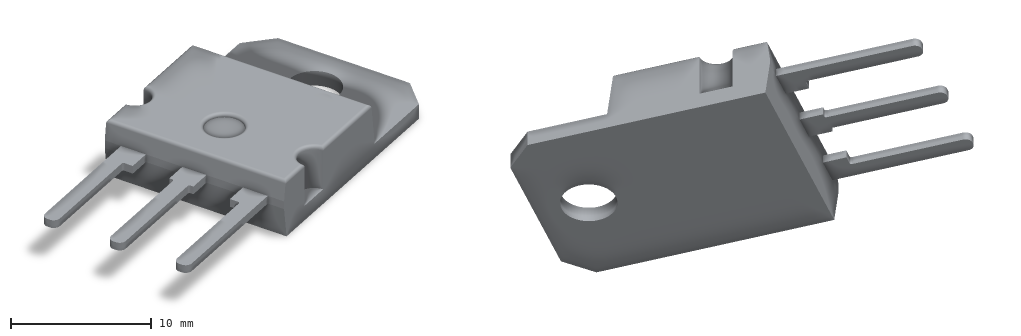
import cadquery as cq
import math

width = 15.0
total_length = 31.0
height = 4.8

housing_length = 12.25
draft_angle = math.radians(7.5)
edge_radius = 0.28
recess_y = 4.03
notch_radius = 1.25
dimple_radius = 1.5
dimple_depth = 0.3

tab_thickness = 1.25
tab_corner = 1.98
hole_y = 16.2
hole_diameter = 4.1

lead_length = 10.8
lead_bottom = 2.5
lead_thickness = 0.65
lead_top = lead_bottom + lead_thickness
leg_width = 1.25
shoulder_length = 1.77
outer_shoulder_width = 2.08
middle_shoulder_width = 2.0
outer_lead_x = 6.15
tip_radius = 0.53
shoulder_radius = 0.15

tab_end = total_length - lead_length


def draft_inset(rise):
    """Horizontal run of a drafted face over the given rise."""
    return rise * math.tan(draft_angle)


def make_housing():
    profile = [
        (draft_inset(lead_bottom), 0),
        (housing_length, 0),
        (housing_length, tab_thickness),
        (housing_length - draft_inset(height - tab_thickness), height),
        (draft_inset(height - lead_top), height),
        (0, lead_top),
        (0, lead_bottom),
    ]
    body = cq.Workplane("YZ").polyline(profile).close().extrude(width / 2, both=True)

    notches = (
        cq.Workplane("XY", origin=(0, recess_y, tab_thickness))
        .pushPoints([(-width / 2, 0), (width / 2, 0)])
        .circle(notch_radius)
        .extrude(height - tab_thickness)
    )
    dimple = (
        cq.Workplane("XY", origin=(0, recess_y, height - dimple_depth))
        .circle(dimple_radius)
        .extrude(dimple_depth)
    )
    body = body.cut(notches).cut(dimple)

    return body.faces(">Z").edges().fillet(edge_radius)


def make_tab():
    tab = (
        cq.Workplane("XY")
        .moveTo(-width / 2, housing_length)
        .lineTo(width / 2, housing_length)
        .lineTo(width / 2, tab_end)
        .lineTo(-width / 2, tab_end)
        .close()
        .extrude(tab_thickness)
        .edges("|Z and >Y")
        .chamfer(tab_corner)
    )
    hole = cq.Workplane("XY").center(0, hole_y).circle(hole_diameter / 2).extrude(tab_thickness)
    return tab.cut(hole)


def make_lead(leg_x, shoulder_x, shoulder_width):
    """One lead: a wide shoulder at the housing and a narrow leg with a rounded tip."""
    plane = cq.Workplane("XY", origin=(0, 0, lead_bottom))
    leg = (
        plane.center(leg_x, -lead_length / 2)
        .rect(leg_width, lead_length)
        .extrude(lead_thickness)
        .edges("|Z and <Y")
        .fillet(tip_radius)
    )
    shoulder = (
        plane.center(shoulder_x, -shoulder_length / 2)
        .rect(shoulder_width, shoulder_length)
        .extrude(lead_thickness)
    )
    lead = leg.union(shoulder)

    corner_size = 2 * shoulder_radius
    corner_zone = cq.selectors.BoxSelector(
        (leg_x - leg_width / 2 - corner_size, -shoulder_length - corner_size, lead_bottom),
        (leg_x + leg_width / 2 + corner_size, -shoulder_length + corner_size, lead_top),
    )
    return lead.edges("|Z").edges(corner_zone).fillet(shoulder_radius)


def make_leads():
    leads = []
    for side in (-1, 0, 1):
        leg_x = side * (outer_lead_x - leg_width / 2)
        shoulder_width = outer_shoulder_width if side else middle_shoulder_width
        shoulder_x = side * (outer_lead_x - shoulder_width / 2)
        leads.append(make_lead(leg_x, shoulder_x, shoulder_width))
    return leads


housing = make_housing()
tab = make_tab()
leads = make_leads()

result = cq.Compound.makeCompound([housing.val(), tab.val(), *[lead.val() for lead in leads]])